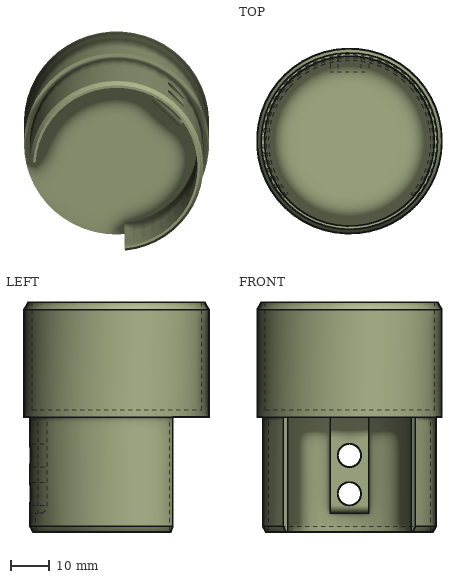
import cadquery as cq
import math

total_height = 60
skirt_height = total_height / 2
outer_radius = 24.15

cup_wall = 2.0
floor_thickness = 2.0
rim_chamfer_height = 2.0
cup_radius = outer_radius - cup_wall

skirt_inset = 1.5
skirt_wall = 1.5
skirt_chamfer_height = 1.5
skirt_radius = outer_radius - skirt_inset
skirt_inner_radius = skirt_radius - skirt_wall
window_angle = 99

chamfer_angle = math.radians(30)

pad_width = 10.0
pad_thickness = 3
pad_bottom = 5.0
pad_round_radius = 2.0
pad_face_y = skirt_inner_radius - pad_thickness

hole_diameter = 6
hole_heights = (skirt_height / 3, skirt_height * 2 / 3)


def body():
    """Revolved cup and skirt, with a solid floor between them."""
    rim_inset = rim_chamfer_height * math.tan(chamfer_angle)
    foot_inset = skirt_chamfer_height * math.tan(chamfer_angle)
    profile = [
        (0, skirt_height),
        (skirt_inner_radius, skirt_height),
        (skirt_inner_radius, 0),
        (skirt_radius - foot_inset, 0),
        (skirt_radius, skirt_chamfer_height),
        (skirt_radius, skirt_height),
        (outer_radius, skirt_height),
        (outer_radius, total_height - rim_chamfer_height),
        (outer_radius - rim_inset, total_height),
        (cup_radius, total_height),
        (cup_radius, skirt_height + floor_thickness),
        (0, skirt_height + floor_thickness),
    ]
    return cq.Workplane("XZ").polyline(profile).close().revolve(360, (0, 0), (0, 1))


def window():
    """Wedge with radial sides that opens the skirt towards -Y."""
    half_angle = math.radians(window_angle / 2)
    reach = 2 * outer_radius
    side_x = reach * math.sin(half_angle)
    side_y = -reach * math.cos(half_angle)
    wedge = [(0, 0), (-side_x, side_y), (side_x, side_y)]
    return cq.Workplane("XY").polyline(wedge).close().extrude(skirt_height)


def pad():
    """Flat-faced block with a rounded lower front edge, trimmed to the skirt wall."""
    back_y = skirt_radius
    block = (
        cq.Workplane("XY")
        .box(pad_width, back_y - pad_face_y, skirt_height - pad_bottom, centered=(True, False, False))
        .translate((0, pad_face_y, pad_bottom))
        .edges("<Y and <Z")
        .fillet(pad_round_radius)
    )
    mid_wall_radius = skirt_radius - skirt_wall / 2
    return block.intersect(cq.Workplane("XY").circle(mid_wall_radius).extrude(skirt_height))


def holes():
    """Cylinders along Y through the pad and the wall."""
    centres = [(0, height) for height in hole_heights]
    return cq.Workplane("XZ").pushPoints(centres).circle(hole_diameter / 2).extrude(-outer_radius)


result = body().cut(window()).union(pad()).cut(holes())